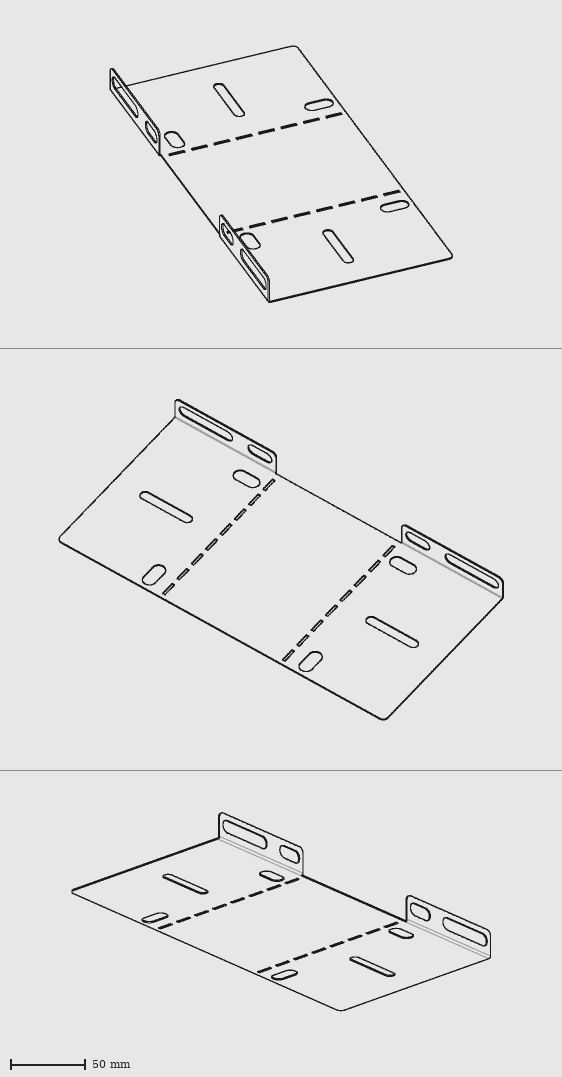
import cadquery as cq

length = 273.0
depth = 136.0
height = 20.0
thickness = 1.0
bend_inner_radius = 0.5
bend_outer_radius = bend_inner_radius + thickness

flange_length = 84.0
corner_radius = 3.8

mount_slot_length = 20.0
mount_slot_width = 9.5
mount_slot_x = 65.2
rear_mount_slot_y = 122.5
front_mount_slot_y = 17.0
long_slot_length = 42.0
long_slot_width = 7.0
long_slot_x = 94.2
long_slot_y = 69.0

slit_count = 8
slit_length = 11.0
slit_width = 2.0
slit_pitch = 16.5
slit_x = 50.0
slit_row_y = 69.5

flange_slot_width = 9.0
flange_slot_z = 11.2
flange_long_slot_length = 44.5
flange_long_slot_x = 110.8
flange_short_slot_length = 20.0
flange_short_slot_x = 65.8

SIDES = (-1, 1)


def base_plate():
    """Flat sheet behind the bend, with rounded rear corners."""
    plate_depth = depth - bend_outer_radius
    plate = cq.Workplane("XY").box(length, plate_depth, thickness, centered=(True, False, False))
    plate = plate.translate((0, bend_outer_radius, 0))
    return plate.edges("|Z and >Y").fillet(corner_radius)


def flange(side):
    """Quarter-round bend and upright wall at one end of the front edge."""
    center_x = side * (length - flange_length) / 2
    wall_height = height - bend_outer_radius
    wall = cq.Workplane("XY").box(flange_length, thickness, wall_height, centered=(True, False, False))
    wall = wall.edges("|Y and >Z").fillet(corner_radius)
    wall = wall.translate((center_x, 0, bend_outer_radius))

    bend = (
        cq.Workplane("YZ")
        .center(bend_outer_radius, bend_outer_radius)
        .circle(bend_outer_radius)
        .circle(bend_inner_radius)
        .extrude(flange_length / 2, both=True)
    )
    quarter = cq.Workplane("XY").box(
        flange_length, bend_outer_radius, bend_outer_radius, centered=(True, False, False)
    )
    bend = bend.intersect(quarter).translate((center_x, 0, 0))
    return wall.union(bend)


def base_cutter():
    """Mounting slots, long slots and fold slits through the base."""
    plane = cq.Workplane("XY")
    rear_points = [(side * mount_slot_x, rear_mount_slot_y) for side in SIDES]
    front_points = [(side * mount_slot_x, front_mount_slot_y) for side in SIDES]
    long_points = [(side * long_slot_x, long_slot_y) for side in SIDES]
    slit_points = [
        (side * slit_x, slit_row_y + (i - (slit_count - 1) / 2) * slit_pitch)
        for side in SIDES
        for i in range(slit_count)
    ]
    rear = plane.pushPoints(rear_points).slot2D(mount_slot_length, mount_slot_width, 90).extrude(thickness)
    front = plane.pushPoints(front_points).slot2D(mount_slot_length, mount_slot_width).extrude(thickness)
    long = plane.pushPoints(long_points).slot2D(long_slot_length, long_slot_width).extrude(thickness)
    slits = plane.pushPoints(slit_points).rect(slit_width, slit_length).extrude(thickness)
    return rear.union(front).union(long).union(slits)


def flange_cutter(slot_x, slot_length):
    """A mirrored pair of horizontal slots through the flange walls."""
    points = [(side * slot_x, flange_slot_z) for side in SIDES]
    slots = cq.Workplane("XZ").pushPoints(points).slot2D(slot_length, flange_slot_width)
    return slots.extrude(-thickness)


result = base_plate()
for side in SIDES:
    result = result.union(flange(side))
result = result.cut(base_cutter())
result = result.cut(flange_cutter(flange_long_slot_x, flange_long_slot_length))
result = result.cut(flange_cutter(flange_short_slot_x, flange_short_slot_length))